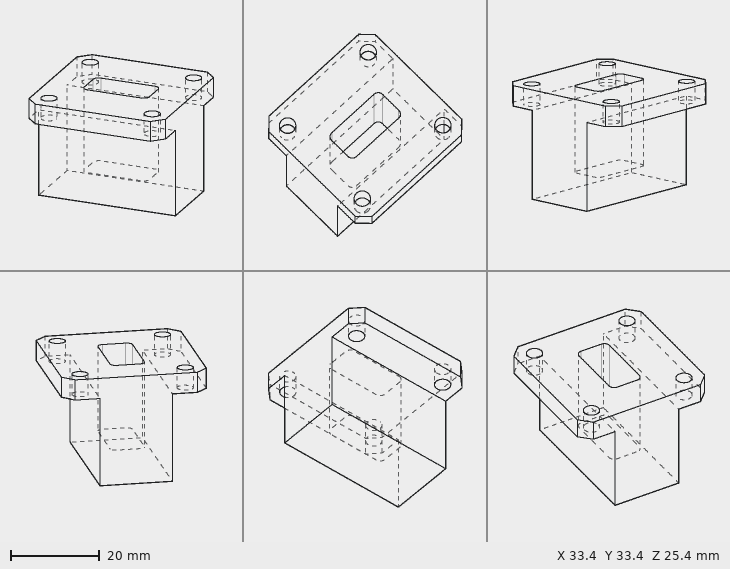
import cadquery as cq

flange_side = 33.35
flange_thickness = 4.77
corner_cut = 2.65

total_height = 25.4
block_width = flange_side / 2
block_height = total_height - flange_thickness

hole_diameter = 3.67
hole_spacing_x = 25.2
hole_spacing_y = 24.2

pocket_length = 15.87
pocket_width = 7.95
pocket_corner_radius = 1.35
pocket_depth = 20.0


def make_block():
    return cq.Workplane("XY").box(
        flange_side, block_width, block_height, centered=(True, True, False)
    )


def make_flange():
    return (
        cq.Workplane("XY")
        .workplane(offset=block_height)
        .rect(flange_side, flange_side)
        .extrude(flange_thickness)
        .edges("|Z")
        .chamfer(corner_cut)
    )


def make_mounting_holes():
    return (
        cq.Workplane("XY")
        .workplane(offset=block_height)
        .rect(hole_spacing_x, hole_spacing_y, forConstruction=True)
        .vertices()
        .circle(hole_diameter / 2)
        .extrude(flange_thickness)
    )


def make_pocket():
    return (
        cq.Workplane("XY")
        .workplane(offset=total_height - pocket_depth)
        .rect(pocket_length, pocket_width)
        .extrude(pocket_depth)
        .edges("|Z")
        .fillet(pocket_corner_radius)
    )


result = make_block().union(make_flange()).cut(make_mounting_holes()).cut(make_pocket())